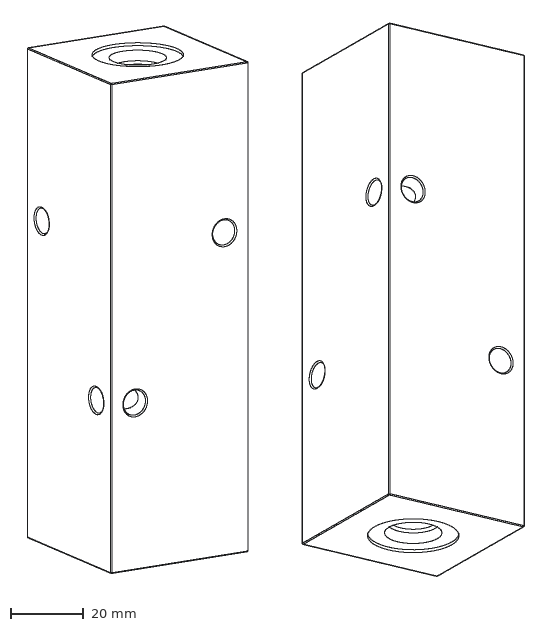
import cadquery as cq

length = 139.7
side = 44.4
edge_break = 0.3

bore_diameter = 12.6
spot_face_diameter = 25.1
spot_face_depth = 0.8
cone_mouth_diameter = 15.8
cone_root_diameter = 14.1
cone_bottom_depth = 3.6

cross_hole_diameter = 7.1
cross_hole_mouth_diameter = 8.0
cross_hole_offset = 14.4
cross_hole_height = 22.2


def make_block():
    """Block centred on the origin with every outer edge chamfered."""
    block = cq.Workplane("XY").box(side, side, length)
    return block.edges().chamfer(edge_break)


def make_bore():
    """Solid of the through bore with a port at both ends, turned about Z."""
    bore_radius = bore_diameter / 2
    cone_root_radius = cone_root_diameter / 2
    lead_in_depth = cone_root_radius - bore_radius
    top = length / 2
    top_half_profile = [
        (0, 0),
        (bore_radius, 0),
        (bore_radius, top - cone_bottom_depth - lead_in_depth),
        (cone_root_radius, top - cone_bottom_depth),
        (cone_mouth_diameter / 2, top - spot_face_depth),
        (spot_face_diameter / 2, top - spot_face_depth),
        (spot_face_diameter / 2, top),
        (0, top),
    ]
    top_half = cq.Workplane("XZ").polyline(top_half_profile).close().revolve(360, (0, 0, 0), (0, 1, 0))
    return top_half.union(top_half.mirror("XY"))


def make_cross_hole():
    """Hole along Y through the origin, with a countersunk mouth at both ends."""
    hole_radius = cross_hole_diameter / 2
    mouth_radius = cross_hole_mouth_diameter / 2
    mouth_depth = mouth_radius - hole_radius
    half_side = side / 2
    profile = [
        (0, -half_side),
        (mouth_radius, -half_side),
        (hole_radius, mouth_depth - half_side),
        (hole_radius, half_side - mouth_depth),
        (mouth_radius, half_side),
        (0, half_side),
    ]
    return cq.Workplane("XY").polyline(profile).close().revolve(360, (0, 0, 0), (0, 1, 0))


result = make_block().cut(make_bore())

hole_along_y = make_cross_hole()
hole_along_x = hole_along_y.rotate((0, 0, 0), (0, 0, 1), 90)
for sign in (1, -1):
    offset = sign * cross_hole_offset
    height = sign * cross_hole_height
    result = result.cut(hole_along_y.translate((-offset, 0, height)))
    result = result.cut(hole_along_x.translate((0, offset, height)))